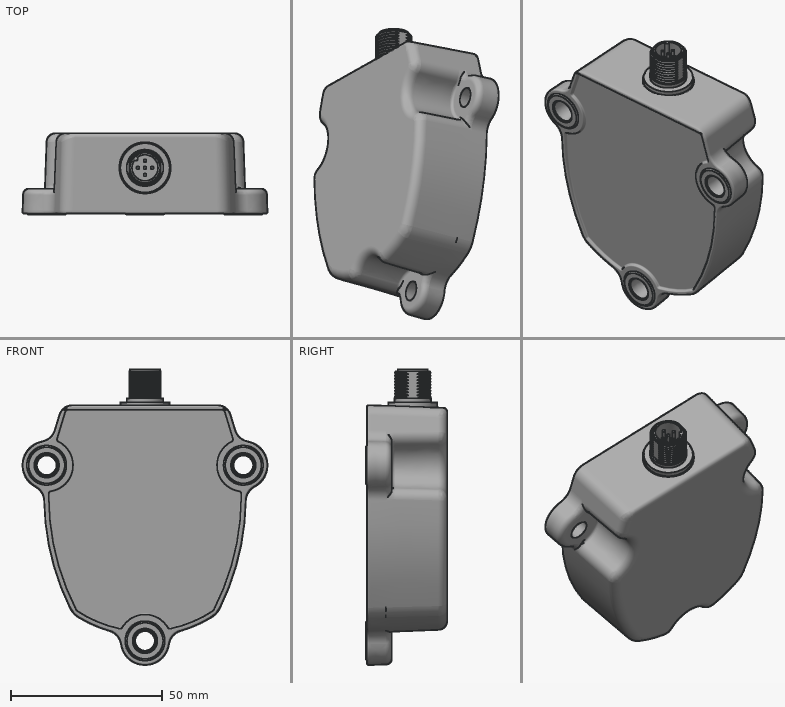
import cadquery as cq
import math


EDGE_CLEARANCE = 1
CORNER_REACH = 2.9
SCALLOP_EDGE_REACH = 2

EAR_RADIUS = 8.0
EAR_THICKNESS = 8.3
EAR_BACK_ROUND = 2.1
EAR_BLEND_RADIUS = 5.3
EAR_SPACING_X = 64.9
EAR_SPACING_Z = 58.0
EAR_CENTRES = [(-EAR_SPACING_X / 2, EAR_SPACING_Z), (EAR_SPACING_X / 2, EAR_SPACING_Z), (0, 0)]
HOLE_FRONT_RADIUS = 3.7
HOLE_BACK_RADIUS = 3.2
HOLE_CHAMFER = 0.4
PAD_BASE_RADIUS = 6.6
PAD_TOP_RADIUS = 6.0
PAD_HEIGHT = 0.4

HOUSING_DEPTH = 26.6
HOUSING_TOP = 77.9
TOP_CORNER_HALF_WIDTH = 27.3
HALF_WIDTH = 33.4
SIDE_ARC_TOP = 47.6
SIDE_ARC_RADIUS = 83.1
BOTTOM_ARC_APEX = 1.6
BOTTOM_ARC_RADIUS = 42.1
TOP_CORNER_ROUND = 4.6
BOTTOM_CORNER_ROUND = 7.8
BACK_ROUND = 3.1
TOP_BACK_ROUND = 1.5
FRONT_ROUND = 0.7
RIM_HEIGHT = 1.3
DRAFT_ANGLE = 2

SCALLOP_RADIUS = 7.7
SCALLOP_CORNER_ROUND = 3.9
SCALLOP_FLOOR_ROUND = 1

RECESS_DEPTH = 1
RECESS_MARGIN = 1.6
RECESS_EAR_RADIUS = 8.7
RECESS_EDGE_ROUND = 0.44
RECESS_CORNER_ROUND = 0.8

CONNECTOR_Y = 15.2
CONNECTOR_TOP = 89.8
FLANGE_RADIUS = 8.1
FLANGE_TOP = 78.7
FLANGE_ROOT_DEPTH = 2
SPOT_FACE_RADIUS = 8.5
SPOT_FACE_HEIGHT = 77.0
COLLAR_RADIUS = 6.1
COLLAR_TOP = 80.1
THREAD_MAJOR_RADIUS = 6.0
THREAD_MINOR_RADIUS = 5.5
THREAD_TOP = 89.1
THREAD_TURNS = 9
THREAD_PITCH = (THREAD_TOP - COLLAR_TOP) / THREAD_TURNS
TIP_RADIUS = 5.0
FLAT_DISTANCE = 5.3
SOCKET_RADIUS = 4.3
SOCKET_DEPTH = 7.8
PIN_RADIUS = 0.5
PIN_CIRCLE_RADIUS = 2.3
OUTER_PIN_COUNT = 4
PIN_TOP_BELOW_TIP = 1.5
KEY_RADIUS = 0.7
KEY_ANGLE = 135


def back_facing(y):
    """Workplane at depth y whose normal is +Y; its X is reversed, which symmetry makes harmless."""
    return cq.Workplane(cq.Plane(origin=(0, y, 0), xDir=(-1, 0, 0), normal=(0, 1, 0)))


def lower_corner():
    """Point where the side arc meets the bottom arc, found from the two circles."""
    side_x = HALF_WIDTH - SIDE_ARC_RADIUS
    side_z = SIDE_ARC_TOP
    bottom_z = BOTTOM_ARC_APEX + BOTTOM_ARC_RADIUS
    gap_x = -side_x
    gap_z = bottom_z - side_z
    gap = math.hypot(gap_x, gap_z)
    along = (gap**2 + SIDE_ARC_RADIUS**2 - BOTTOM_ARC_RADIUS**2) / (2 * gap)
    across = math.sqrt(SIDE_ARC_RADIUS**2 - along**2)
    x = side_x + (along * gap_x + across * gap_z) / gap
    z = side_z + (along * gap_z - across * gap_x) / gap
    return x, z


def side_arc_middle(end_z):
    """Point halfway down the side arc."""
    angle = math.asin((SIDE_ARC_TOP - end_z) / SIDE_ARC_RADIUS) / 2
    x = HALF_WIDTH - SIDE_ARC_RADIUS * (1 - math.cos(angle))
    z = SIDE_ARC_TOP - SIDE_ARC_RADIUS * math.sin(angle)
    return x, z


def housing_outline(y):
    """Sharp-cornered outline of the housing, without the ears."""
    corner_x, corner_z = lower_corner()
    middle_x, middle_z = side_arc_middle(corner_z)
    return (
        back_facing(y)
        .moveTo(-TOP_CORNER_HALF_WIDTH, HOUSING_TOP)
        .lineTo(TOP_CORNER_HALF_WIDTH, HOUSING_TOP)
        .lineTo(HALF_WIDTH, EAR_SPACING_Z)
        .lineTo(HALF_WIDTH, SIDE_ARC_TOP)
        .threePointArc((middle_x, middle_z), (corner_x, corner_z))
        .threePointArc((0, BOTTOM_ARC_APEX), (-corner_x, corner_z))
        .threePointArc((-middle_x, middle_z), (-HALF_WIDTH, SIDE_ARC_TOP))
        .lineTo(-HALF_WIDTH, EAR_SPACING_Z)
        .close()
    )


def edges_near(points, reach, start, end):
    """Selects edges centred within reach of points in the XZ plane, between depths start and end."""
    selector = None
    for x, z in points:
        box = cq.selectors.BoxSelector((x - reach, start, z - reach), (x + reach, end, z + reach))
        selector = box if selector is None else selector + box
    return selector


def drafted_housing(end):
    """Housing block from the rim to depth end, with its outer corners rounded."""
    x, z = lower_corner()
    top_corners = [(-TOP_CORNER_HALF_WIDTH, HOUSING_TOP), (TOP_CORNER_HALF_WIDTH, HOUSING_TOP)]
    low_corners = [(-x, z), (x, z)]
    middle_only = (RIM_HEIGHT + EDGE_CLEARANCE, end - EDGE_CLEARANCE)
    return (
        housing_outline(RIM_HEIGHT)
        .extrude(end - RIM_HEIGHT, taper=DRAFT_ANGLE)
        .edges(edges_near(top_corners, CORNER_REACH, *middle_only))
        .fillet(TOP_CORNER_ROUND)
        .edges(edges_near(low_corners, CORNER_REACH, *middle_only))
        .fillet(BOTTOM_CORNER_ROUND)
    )


def front_slab():
    """Front slab with the ears: drafted wall, blended ear roots, straight rim and rounded edges."""
    ears = (
        back_facing(RIM_HEIGHT)
        .pushPoints(EAR_CENTRES)
        .circle(EAR_RADIUS)
        .extrude(EAR_THICKNESS - RIM_HEIGHT, taper=DRAFT_ANGLE)
    )
    roots = edges_near(
        EAR_CENTRES,
        EAR_RADIUS + EDGE_CLEARANCE,
        RIM_HEIGHT + EDGE_CLEARANCE,
        EAR_THICKNESS - EDGE_CLEARANCE,
    )
    slab = drafted_housing(EAR_THICKNESS).union(ears).edges(roots).fillet(EAR_BLEND_RADIUS)
    slab = slab.faces("<Y").wires().toPending().workplane().extrude(RIM_HEIGHT)
    slab = slab.faces("<Y").edges().fillet(FRONT_ROUND)
    return slab.faces(">Y").edges().fillet(EAR_BACK_ROUND)


def back_shell():
    """Full-depth housing, scalloped behind the ears and rounded along its back."""
    scallops = (
        back_facing(EAR_THICKNESS)
        .pushPoints(EAR_CENTRES)
        .circle(SCALLOP_RADIUS)
        .extrude(HOUSING_DEPTH, taper=-DRAFT_ANGLE)
        .faces("<Y")
        .edges()
        .fillet(SCALLOP_FLOOR_ROUND)
    )
    corners = edges_near(
        EAR_CENTRES,
        SCALLOP_RADIUS + SCALLOP_EDGE_REACH,
        EAR_THICKNESS + EDGE_CLEARANCE,
        HOUSING_DEPTH - EDGE_CLEARANCE,
    )
    shell = drafted_housing(HOUSING_DEPTH).cut(scallops).edges(corners).fillet(SCALLOP_CORNER_ROUND)
    return round_back(shell)


def round_back(shell):
    """Rounds the back edge, tightening from BACK_ROUND to TOP_BACK_ROUND across the top corners."""
    top_edge = shell.faces(">Y").edges(">Z").val()
    fillet = cq.occ_impl.shapes.BRepFilletAPI_MakeFillet(shell.val().wrapped)
    fillet.Add(BACK_ROUND, top_edge.wrapped)
    loop = 1
    last = fillet.NbEdges(loop)
    fillet.SetRadius(TOP_BACK_ROUND, loop, 1)
    fillet.SetRadius(TOP_BACK_ROUND, BACK_ROUND, loop, 2)
    for number in range(3, last):
        fillet.SetRadius(BACK_ROUND, loop, number)
    fillet.SetRadius(BACK_ROUND, TOP_BACK_ROUND, loop, last)
    return cq.Workplane(cq.Shape.cast(fillet.Shape())).solids()


def recess():
    """Tool for the front recess: the outline moved inward, less a disc around each ear."""
    floor = housing_outline(0).offset2D(-RECESS_MARGIN).extrude(RECESS_DEPTH)
    discs = back_facing(0).pushPoints(EAR_CENTRES).circle(RECESS_EAR_RADIUS).extrude(RECESS_DEPTH)
    tool = floor.cut(discs)
    tool = tool.edges("|Y").fillet(RECESS_CORNER_ROUND)
    return tool.faces(">Y").edges().fillet(RECESS_EDGE_ROUND)


def turned(radius, bottom, top):
    """Upright cylinder on the connector axis between two heights."""
    return cq.Workplane("XY", origin=(0, CONNECTOR_Y, bottom)).circle(radius).extrude(top - bottom)


def threaded_stem():
    """Ring-grooved thread with a flat on either side, from the collar to the plain tip."""
    profile = cq.Workplane("XZ", origin=(0, CONNECTOR_Y, 0)).moveTo(0, COLLAR_TOP)
    profile = profile.lineTo(THREAD_MINOR_RADIUS, COLLAR_TOP)
    for turn in range(THREAD_TURNS):
        root = COLLAR_TOP + turn * THREAD_PITCH
        profile = profile.lineTo(THREAD_MAJOR_RADIUS, root + THREAD_PITCH / 2)
        profile = profile.lineTo(THREAD_MINOR_RADIUS, root + THREAD_PITCH)
    stem = profile.lineTo(0, THREAD_TOP).close().revolve(360, (0, 0, 0), (0, 1, 0))
    between_flats = (
        cq.Workplane("XY", origin=(0, CONNECTOR_Y, COLLAR_TOP))
        .rect(2 * FLAT_DISTANCE, 2 * COLLAR_RADIUS)
        .extrude(THREAD_TOP - COLLAR_TOP)
    )
    return stem.intersect(between_flats)


def connector():
    """Flange, collar, threaded stem and tip, hollowed by a keyed socket with five pins."""
    socket_floor = CONNECTOR_TOP - SOCKET_DEPTH
    body = turned(FLANGE_RADIUS, FLANGE_TOP - FLANGE_ROOT_DEPTH, FLANGE_TOP)
    body = body.union(turned(COLLAR_RADIUS, FLANGE_TOP, COLLAR_TOP))
    body = body.union(threaded_stem())
    body = body.union(turned(TIP_RADIUS, COLLAR_TOP, CONNECTOR_TOP))
    body = body.cut(turned(SOCKET_RADIUS, socket_floor, CONNECTOR_TOP))
    floor = cq.Workplane("XY", origin=(0, CONNECTOR_Y, socket_floor))
    pins = (
        floor.polarArray(PIN_CIRCLE_RADIUS, 0, 360, OUTER_PIN_COUNT)
        .circle(PIN_RADIUS)
        .extrude(SOCKET_DEPTH - PIN_TOP_BELOW_TIP)
    )
    centre_pin = floor.circle(PIN_RADIUS).extrude(SOCKET_DEPTH - PIN_TOP_BELOW_TIP)
    key = floor.polarArray(SOCKET_RADIUS, KEY_ANGLE, 360, 1).circle(KEY_RADIUS).extrude(SOCKET_DEPTH)
    return body.union(pins).union(centre_pin).union(key)


def ear_cones(start, end, start_radius, end_radius):
    """Cones on the three ear axes, between two depths."""
    taper = math.degrees(math.atan((start_radius - end_radius) / (end - start)))
    return back_facing(start).pushPoints(EAR_CENTRES).circle(start_radius).extrude(end - start, taper=taper)


def ear_pads():
    """Low raised pad with a sloping edge on the front of each ear."""
    return ear_cones(-PAD_HEIGHT, 0, PAD_TOP_RADIUS, PAD_BASE_RADIUS)


def ear_holes():
    """Through holes that narrow towards the back, with a chamfered front edge."""
    holes = ear_cones(-PAD_HEIGHT, EAR_THICKNESS, HOLE_FRONT_RADIUS, HOLE_BACK_RADIUS)
    mouth_radius = HOLE_FRONT_RADIUS + HOLE_CHAMFER
    mouths = ear_cones(-PAD_HEIGHT, HOLE_CHAMFER - PAD_HEIGHT, mouth_radius, HOLE_FRONT_RADIUS)
    return holes.union(mouths)


def round_recess_rim(housing):
    """Rounds the outer edge of the front recess."""
    rim_edges = housing.faces("<Y").val().innerWires()[0].Edges()
    return housing.newObject(rim_edges).fillet(RECESS_EDGE_ROUND)


housing = round_recess_rim(front_slab().union(back_shell()).cut(recess()))
spot_face = turned(SPOT_FACE_RADIUS, SPOT_FACE_HEIGHT, FLANGE_TOP)
result = housing.cut(spot_face).union(ear_pads()).cut(ear_holes()).union(connector())